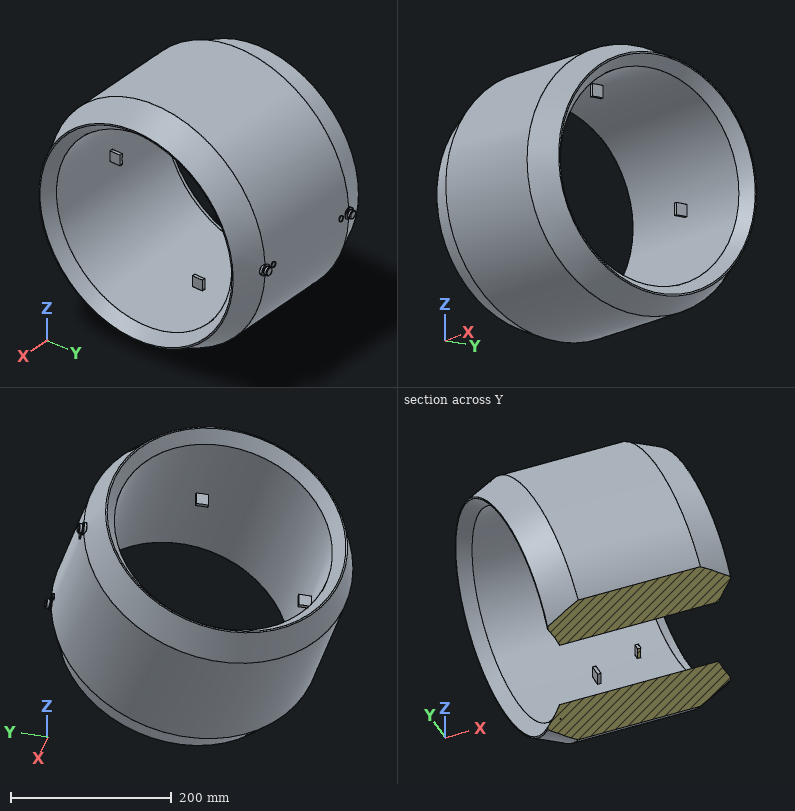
import cadquery as cq

length = 249.0
flat_length = 166.0
outer_radius = 173.0
bore_radius = 280.0 / 2
end_outer_radius = 155.3
end_inner_radius = 153.2
mouth_depth = 16.2

tab_count = 4
tab_width = 16.0
tab_thickness = 4.5
tab_tip_radius = 124.0
tab_root_radius = bore_radius + 3.5

fitting_root = outer_radius - 5.3
fitting_x = flat_length / 2
fitting_top = 180.0
flange_diameter = 16.0
flange_top = 174.0
flange_bottom = 170.5
cap_diameter = 12.0
cap_bottom = 175.5
cap_chamfer = 1.0
neck_diameter = 10.5

pin_x = fitting_x - 16.0
pin_diameter = 8.0
pin_top = 174.0


def make_sleeve():
    """Revolve the wall section, with tapered ends outside and flared mouths inside."""
    half = length / 2
    section = [
        (-half, end_inner_radius),
        (-half, end_outer_radius),
        (-flat_length / 2, outer_radius),
        (flat_length / 2, outer_radius),
        (half, end_outer_radius),
        (half, end_inner_radius),
        (half - mouth_depth, bore_radius),
        (-half + mouth_depth, bore_radius),
    ]
    return cq.Workplane("XY").polyline(section).close().revolve(360, (0, 0, 0), (1, 0, 0))


def make_tabs():
    """Radial tabs whose tips are hollowed to a common cylinder."""
    ring = (
        cq.Workplane("YZ")
        .circle(tab_root_radius)
        .circle(tab_tip_radius)
        .extrude(tab_thickness / 2, both=True)
    )
    bars = cq.Workplane("XY")
    for index in range(tab_count // 2):
        bar = cq.Workplane("XY").box(tab_thickness, 2 * outer_radius, tab_width)
        bars = bars.add(bar.rotate((0, 0, 0), (1, 0, 0), index * 360 / tab_count))
    return ring.intersect(bars.combine())


def radial_disc(x, diameter, bottom, top):
    """Cylinder along +Y between two distances from the sleeve axis."""
    return (
        cq.Workplane("XZ", origin=(x, bottom, 0))
        .circle(diameter / 2)
        .extrude(bottom - top)
    )


def make_fitting(x):
    """Flanged fitting with a necked, chamfered cap."""
    neck = radial_disc(x, neck_diameter, fitting_root, cap_bottom)
    flange = radial_disc(x, flange_diameter, flange_bottom, flange_top)
    cap = radial_disc(x, cap_diameter, cap_bottom, fitting_top).faces(">Y").chamfer(cap_chamfer)
    return neck.union(flange).union(cap)


def make_pin(x):
    """Low round pin rooted in the sleeve wall."""
    return radial_disc(x, pin_diameter, fitting_root, pin_top)


result = make_sleeve().union(make_tabs())
for side in (-1, 1):
    result = result.union(make_fitting(side * fitting_x))
    result = result.union(make_pin(side * pin_x))